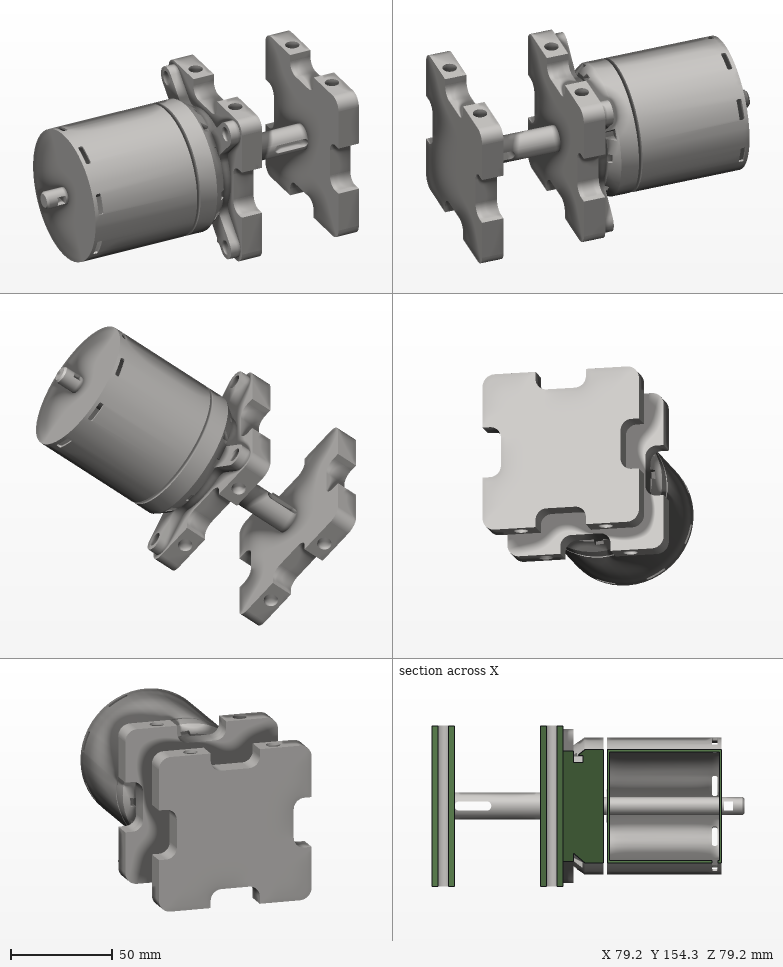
import cadquery as cq
import math

TOTAL_LENGTH = 154.3

PLATE_SIZE = 79.2
PLATE_THICKNESS = 11.3
PLATE_PITCH = 53.5
PLATE_CORNER_RADIUS = 6.0
NOTCH_WIDTH = 25.5
NOTCH_DEPTH = 9.3
NOTCH_FILLET = 5.5
CROSS_HOLE_DIAMETER = 7.1
CROSS_HOLE_SPACING = 42.9

FLANGE_THICKNESS = 5.1
HUB_RADIUS = 27.5
ARM_TIP_RADIUS = 6.0
ARM_HOLE_OFFSET = 32.0
ARM_HOLE_DIAMETER = 7.3
ARM_FILLET = NOTCH_FILLET
ARM_PAIR_ANGLES = (45, 135)
CONE_REAR_RADIUS = 30.0
CONE_LENGTH = 5.5
RIM_LENGTH = 9.3
MOTOR_RADIUS = 33.8

POCKET_DEPTH = 4.6
POCKET_INNER_RADIUS = 28.7
NARROW_POCKET_WIDTH = 4.6
NARROW_POCKET_OUTER_RADIUS = 31.2
NARROW_POCKET_ANGLES = (5.3, 53.0)
WIDE_POCKET_SIDE = 12.8
WIDE_POCKET_ARM_OFFSET = 6.8
WIDE_POCKET_OUTER_RADIUS = 33.0

CAN_GAP = 1.9
CAN_LENGTH = 56.3
CAN_WALL = 1.1
CAN_BOSS_DIAMETER = 16.2
CAN_BOSS_HEIGHT = 0.3
VENT_COUNT = 8
VENT_FIRST_ANGLE = 17.5
VENT_LENGTH = 10.6
VENT_WIDTH = 2.6
VENT_CORNER_RADIUS = 0.8
VENT_FROM_FRONT = 3.2

SHAFT_REAR_DIAMETER = 13.5
SHAFT_FRONT_DIAMETER = 9.0
SHAFT_CHAMFER = 1.0
KEY_SLOT_LENGTH = 18.2
KEY_SLOT_WIDTH = 4.5
PIN_HOLE_WIDTH = 4.5
PIN_HOLE_FROM_TIP = 7.9

FRONT_PLATE_STATION = PLATE_PITCH
FLANGE_STATION = FRONT_PLATE_STATION + PLATE_THICKNESS
CONE_STATION = FLANGE_STATION + FLANGE_THICKNESS
RIM_STATION = CONE_STATION + CONE_LENGTH
RIM_END_STATION = RIM_STATION + RIM_LENGTH
CAN_STATION = RIM_END_STATION + CAN_GAP
CAN_END_STATION = CAN_STATION + CAN_LENGTH

QUARTER_TURNS = (0, 90, 180, 270)


def station_plane(station):
    """Plane across the motor axis, with local x along X, local y along Z and the normal along -Y."""
    return cq.Workplane("XZ").workplane(offset=station)


def disc(station, length, radius):
    return station_plane(station).circle(radius).extrude(length)


def about_axis(body, angle):
    """Turn a body about the motor axis; a positive angle moves the top (+Z) toward +X."""
    return body.rotate((0, 0, 0), (0, 1, 0), angle)


def make_plate(station):
    plate = station_plane(station).rect(PLATE_SIZE, PLATE_SIZE).extrude(PLATE_THICKNESS)
    plate = plate.edges("|Y").fillet(PLATE_CORNER_RADIUS)

    notch = (
        station_plane(station)
        .center(0, PLATE_SIZE / 2)
        .rect(NOTCH_WIDTH, 2 * NOTCH_DEPTH)
        .extrude(PLATE_THICKNESS)
        .edges("|Y")
        .fillet(NOTCH_FILLET)
    )
    for turn in QUARTER_TURNS:
        plate = plate.cut(about_axis(notch, turn))

    cross_holes = (
        cq.Workplane("XY")
        .center(0, -station - PLATE_THICKNESS / 2)
        .pushPoints([(-CROSS_HOLE_SPACING / 2, 0), (CROSS_HOLE_SPACING / 2, 0)])
        .circle(CROSS_HOLE_DIAMETER / 2)
        .extrude(PLATE_SIZE / 2, both=True)
    )
    plate = plate.cut(cross_holes)

    return plate.cut(disc(station, PLATE_THICKNESS, SHAFT_REAR_DIAMETER / 2))


def make_flange():
    flange = disc(FLANGE_STATION, FLANGE_THICKNESS, HUB_RADIUS)
    arm_span = 2 * math.sqrt(2) * ARM_HOLE_OFFSET + 2 * ARM_TIP_RADIUS
    for angle in ARM_PAIR_ANGLES:
        arm_pair = (
            station_plane(FLANGE_STATION)
            .slot2D(arm_span, 2 * ARM_TIP_RADIUS, angle)
            .extrude(FLANGE_THICKNESS)
        )
        flange = flange.union(arm_pair)

    root_reach = HUB_RADIUS / math.sqrt(2) + ARM_TIP_RADIUS
    root_box = cq.selectors.BoxSelector(
        (-root_reach, -CONE_STATION, -root_reach), (root_reach, -FLANGE_STATION, root_reach)
    )
    flange = flange.edges("|Y").edges(root_box).fillet(ARM_FILLET)

    arm_holes = (
        station_plane(FLANGE_STATION)
        .rect(2 * ARM_HOLE_OFFSET, 2 * ARM_HOLE_OFFSET, forConstruction=True)
        .vertices()
        .circle(ARM_HOLE_DIAMETER / 2)
        .extrude(FLANGE_THICKNESS)
    )
    return flange.cut(arm_holes)


def make_narrow_pocket():
    return (
        station_plane(CONE_STATION)
        .center(0, (POCKET_INNER_RADIUS + NARROW_POCKET_OUTER_RADIUS) / 2)
        .rect(NARROW_POCKET_WIDTH, NARROW_POCKET_OUTER_RADIUS - POCKET_INNER_RADIUS)
        .extrude(POCKET_DEPTH)
    )


def make_wide_pocket():
    """Wedge between an upright side and a side parallel to the upper right arm."""
    apex_x = WIDE_POCKET_SIDE
    apex_z = WIDE_POCKET_SIDE + math.sqrt(2) * WIDE_POCKET_ARM_OFFSET
    reach = MOTOR_RADIUS
    wedge = (
        station_plane(CONE_STATION)
        .polyline([(apex_x, apex_z), (apex_x + reach, apex_z + reach), (apex_x, apex_z + reach)])
        .close()
        .extrude(POCKET_DEPTH)
    )
    ring = (
        station_plane(CONE_STATION)
        .circle(WIDE_POCKET_OUTER_RADIUS)
        .circle(POCKET_INNER_RADIUS)
        .extrude(POCKET_DEPTH)
    )
    return wedge.intersect(ring)


def make_mount():
    profile = [
        (0, -CONE_STATION),
        (CONE_REAR_RADIUS, -CONE_STATION),
        (MOTOR_RADIUS, -RIM_STATION),
        (MOTOR_RADIUS, -RIM_END_STATION),
        (0, -RIM_END_STATION),
    ]
    cap = cq.Workplane("XY").polyline(profile).close().revolve(360, (0, 0, 0), (0, 1, 0))
    for turn in QUARTER_TURNS:
        cap = cap.cut(about_axis(make_wide_pocket(), turn))
        for angle in NARROW_POCKET_ANGLES:
            cap = cap.cut(about_axis(make_narrow_pocket(), angle + turn))

    mount = cap.union(make_flange())
    return mount.cut(disc(FLANGE_STATION, RIM_END_STATION - FLANGE_STATION, SHAFT_FRONT_DIAMETER / 2))


def make_can():
    can = disc(CAN_STATION, CAN_LENGTH, MOTOR_RADIUS)
    can = can.union(disc(CAN_STATION - CAN_BOSS_HEIGHT, CAN_BOSS_HEIGHT, CAN_BOSS_DIAMETER / 2))
    can = can.cut(disc(CAN_STATION + CAN_WALL, CAN_LENGTH - 2 * CAN_WALL, MOTOR_RADIUS - CAN_WALL))

    vent = (
        cq.Workplane("XY")
        .center(0, -CAN_END_STATION + VENT_FROM_FRONT)
        .rect(VENT_LENGTH, VENT_WIDTH)
        .extrude(MOTOR_RADIUS)
        .edges("|Z")
        .fillet(VENT_CORNER_RADIUS)
    )
    for index in range(VENT_COUNT):
        can = can.cut(about_axis(vent, -VENT_FIRST_ANGLE + index * 360 / VENT_COUNT))

    shaft_bore = disc(
        CAN_STATION - CAN_BOSS_HEIGHT, CAN_LENGTH + CAN_BOSS_HEIGHT, SHAFT_FRONT_DIAMETER / 2
    )
    return can.cut(shaft_bore)


def make_shaft():
    shaft = disc(0, TOTAL_LENGTH, SHAFT_FRONT_DIAMETER / 2).faces("<Y").chamfer(SHAFT_CHAMFER)
    shaft = shaft.union(disc(0, FLANGE_STATION, SHAFT_REAR_DIAMETER / 2))

    key_slot = (
        cq.Workplane("YZ")
        .center(-PLATE_THICKNESS - KEY_SLOT_LENGTH / 2, 0)
        .slot2D(KEY_SLOT_LENGTH, KEY_SLOT_WIDTH)
        .extrude(SHAFT_REAR_DIAMETER, both=True)
    )
    pin_hole = (
        cq.Workplane("YZ")
        .center(-TOTAL_LENGTH + PIN_HOLE_FROM_TIP, 0)
        .rect(PIN_HOLE_WIDTH, PIN_HOLE_WIDTH)
        .extrude(SHAFT_FRONT_DIAMETER, both=True)
    )
    return shaft.cut(key_slot).cut(pin_hole)


plates = [make_plate(station) for station in (0, FRONT_PLATE_STATION)]
mount = make_mount()
can = make_can()
shaft = make_shaft()

result = cq.Compound.makeCompound(
    [*[plate.val() for plate in plates], mount.val(), can.val(), shaft.val()]
)